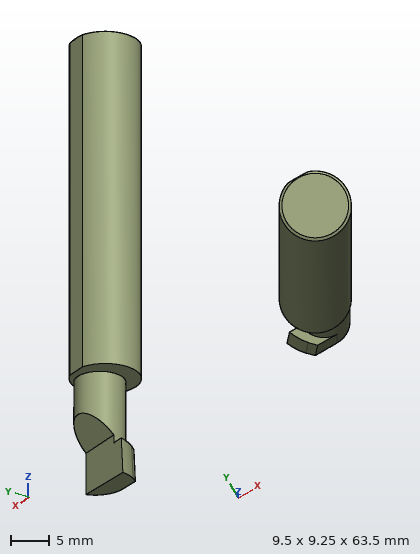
import cadquery as cq
import math

total_length = 63.5
shank_radius = 4.75
shank_bottom = 15.25
shank_flat_y = 4.5
chamfer_height = 0.2
chamfer_width = 0.4

neck_radius = 3.4
neck_x = shank_radius - neck_radius
relief_top = 6.3

head_top = 5.15
tip_x = -4.3
flank_lean = 0.4
heel_x = -2.9
heel_y = -2.5
front_corner_x = -2.0
flank_bulge = 0.1

end_angle_x = 2.0
end_angle_y = 6.0

margin = 0.65


def make_shank():
    shank = cq.Workplane("XY").workplane(offset=shank_bottom).circle(shank_radius)
    shank = shank.extrude(total_length - shank_bottom)
    shank = shank.faces(">Z").chamfer(chamfer_height, chamfer_width)
    flat_cut = (
        cq.Workplane("XY")
        .box(2 * shank_radius, shank_radius, total_length, centered=(True, False, False))
        .translate((0, shank_flat_y, 0))
    )
    return shank.cut(flat_cut)


def make_neck():
    neck = cq.Workplane("XY").center(neck_x, 0).circle(neck_radius)
    neck = neck.extrude(shank_bottom)
    reach = neck_radius + margin
    relief = (
        cq.Workplane("YZ")
        .polyline([(0, -margin), (0, relief_top), (reach, relief_top + reach), (reach, -margin)])
        .close()
        .extrude(shank_radius + margin, both=True)
    )
    return neck.cut(relief)


def add_head_outline(plane, shift):
    """Draw the head outline with its flank moved along X by shift."""
    tip = (tip_x + shift, 0)
    heel = (heel_x + shift, heel_y)
    chord_x = heel[0] - tip[0]
    chord_y = heel[1] - tip[1]
    chord = math.hypot(chord_x, chord_y)
    flank_middle = (
        (tip[0] + heel[0]) / 2 + flank_bulge * chord_y / chord,
        (tip[1] + heel[1]) / 2 - flank_bulge * chord_x / chord,
    )
    return (
        plane.moveTo(*tip)
        .threePointArc(flank_middle, heel)
        .lineTo(front_corner_x + shift, -neck_radius)
        .lineTo(neck_x, -neck_radius)
        .lineTo(neck_x, 0)
        .close()
    )


def make_head():
    lower = add_head_outline(cq.Workplane("XY"), 0)
    upper = add_head_outline(lower.workplane(offset=head_top), flank_lean)
    return upper.loft(ruled=True, combine=True)


def make_end_cut():
    """Solid below the sloping end face, which passes through the tip."""
    size = 4 * shank_radius
    block = cq.Workplane("XY").box(size, size, size).translate((0, 0, -size / 2))
    block = block.rotate((0, 0, 0), (1, 0, 0), -end_angle_y)
    block = block.rotate((0, 0, 0), (0, 1, 0), -end_angle_x)
    return block.translate((tip_x, 0, 0))


result = make_shank().union(make_neck()).union(make_head()).cut(make_end_cut())